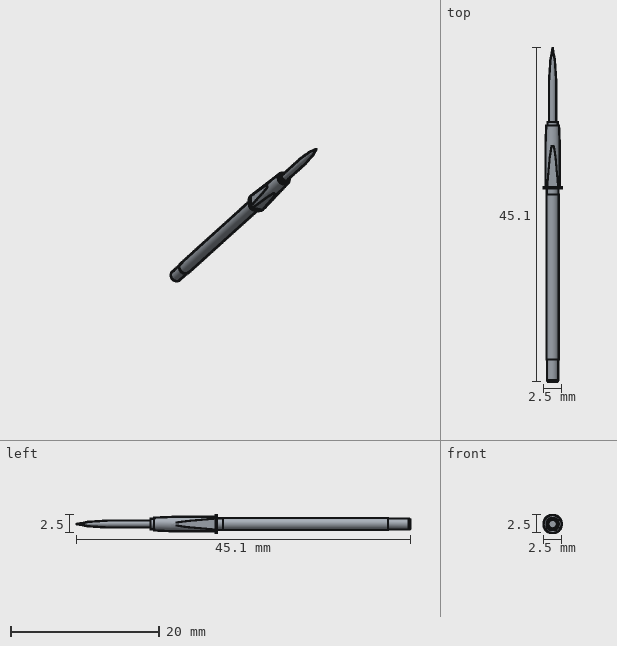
import cadquery as cq

total_length = 45.1
shank_chamfer_length = 0.25
rod_start = 3.05
neck_start = 25.35
flange_start = 26.1
flange_thickness = 0.23
grip_end = 34.65
collar_end = 35.15
taper_start = 40.8
tip_start = 43.5
point_start = 44.25

shank_diameter = 1.55
shank_end_diameter = 1.17
rod_diameter = 1.65
neck_diameter = 1.62
flange_diameter = 2.5
grip_front_diameter = 1.75
collar_diameter = 1.45
needle_diameter = 1.0
tip_base_diameter = 0.65
point_base_diameter = 0.3
point_diameter = 0.05

flat_count = 4
across_flats = 2.0

grip_start = flange_start + flange_thickness


def turned_body():
    """Revolve the stepped half profile about the Y axis."""
    steps = [
        (shank_end_diameter, 0),
        (shank_diameter, shank_chamfer_length),
        (shank_diameter, rod_start),
        (rod_diameter, rod_start),
        (rod_diameter, neck_start),
        (neck_diameter, neck_start),
        (neck_diameter, flange_start),
        (flange_diameter, flange_start),
        (flange_diameter, grip_start),
        (grip_front_diameter, grip_end),
        (collar_diameter, grip_end),
        (collar_diameter, collar_end),
        (needle_diameter, collar_end),
        (needle_diameter, taper_start),
        (tip_base_diameter, tip_start),
        (point_base_diameter, point_start),
        (point_diameter, total_length),
    ]
    outline = [(y, diameter / 2) for diameter, y in steps]
    profile = cq.Workplane("YZ").moveTo(0, 0)
    for point in outline:
        profile = profile.lineTo(*point)
    return profile.lineTo(total_length, 0).close().revolve(360, (0, 0, 0), (1, 0, 0))


def flat_cutter(index):
    """Block that removes everything outside one flat, in front of the flange."""
    block = cq.Workplane("XY").box(
        flange_diameter, grip_end - grip_start, flange_diameter, centered=(True, False, False)
    )
    block = block.translate((0, grip_start, across_flats / 2))
    return block.rotate((0, 0, 0), (0, 1, 0), index * 360 / flat_count)


result = turned_body()
for index in range(flat_count):
    result = result.cut(flat_cutter(index))